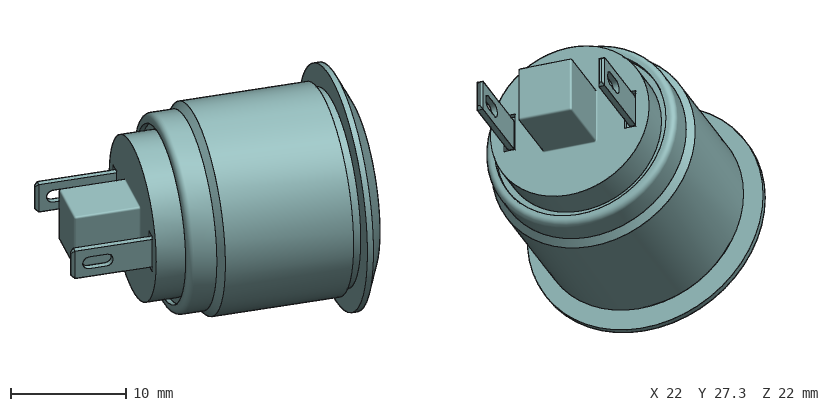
import cadquery as cq
TOTAL_LENGTH = 27.3

FACE_DIAMETER = 16.15
FLANGE_DIAMETER = 22.0
BARREL_DIAMETER = 19.0
NECK_DIAMETER = 17.8
BORE_DIAMETER = 16.0
BEVEL_END = 1.45
FLANGE_END = 2.0
NECK_END = 2.8
BARREL_END = 15.02
HOUSING_END = 17.58
BARREL_CHAMFER = (BARREL_DIAMETER - NECK_DIAMETER) / 2
RIM_FILLET = 0.55

SHOULDER_RECESS = 0.5
SHOULDER = HOUSING_END - SHOULDER_RECESS
BASE_DIAMETER = 14.8
BASE_END = 20.07

BLOCK_WIDTH = 5.0
BLOCK_HEIGHT = 5.2
BLOCK_END = 26.05
BLOCK_FILLET = 0.2
FOOT_FILLET = 0.1

TERMINAL_X = 5.68
TERMINAL_THICKNESS = 0.55
TERMINAL_HEIGHT = 2.8
TIP_LENGTH = 0.3
TIP_THICKNESS = 0.2
TIP_HEIGHT = 2.3
EYELET_LENGTH = 2.73
EYELET_WIDTH = 1.2
EYELET_CENTER = 24.92
SLOT_X = 5.62
SLOT_WIDTH = 1.0
SLOT_HEIGHT = 3.55
SLOT_DEPTH = 0.5


def section_at(station):
    """Workplane across the axis, facing backwards (-Y), with local x along +X."""
    return cq.Workplane("XZ", origin=(0, -station, 0))


def make_housing():
    """Flanged, stepped barrel with a blind bore for the switch core."""
    outline = [
        (0, 0),
        (FACE_DIAMETER / 2, 0),
        (FLANGE_DIAMETER / 2, -BEVEL_END),
        (FLANGE_DIAMETER / 2, -FLANGE_END),
        (NECK_DIAMETER / 2, -FLANGE_END),
        (NECK_DIAMETER / 2, -NECK_END),
        (BARREL_DIAMETER / 2, -NECK_END),
        (BARREL_DIAMETER / 2, -(BARREL_END - BARREL_CHAMFER)),
        (NECK_DIAMETER / 2, -BARREL_END),
        (NECK_DIAMETER / 2, -HOUSING_END),
        (0, -HOUSING_END),
    ]
    barrel = cq.Workplane("XY").polyline(outline).close().revolve(360, (0, 0), (0, 1))
    barrel = barrel.faces("<Y").edges().fillet(RIM_FILLET)
    bore = section_at(FLANGE_END).circle(BORE_DIAMETER / 2).extrude(HOUSING_END - FLANGE_END)
    return barrel.cut(bore)


def make_block():
    """Connector block with rounded long edges and end edges; its foot edges stay sharp."""
    block = section_at(BASE_END).rect(BLOCK_WIDTH, BLOCK_HEIGHT).extrude(BLOCK_END - BASE_END)
    return block.edges("not >Y").fillet(BLOCK_FILLET)


def round_block_foot(core):
    """Blend the block into the base with a small concave fillet around its foot."""
    foot_region = cq.selectors.BoxSelector(
        (-BLOCK_WIDTH, -BASE_END - FOOT_FILLET, -BLOCK_HEIGHT),
        (BLOCK_WIDTH, -BASE_END + FOOT_FILLET, BLOCK_HEIGHT),
        boundingbox=True,
    )
    return core.edges(foot_region).fillet(FOOT_FILLET)


def make_terminal(x):
    """Blade rising from the slot floor, with a tapered tip and an oblong eyelet."""
    slot_floor = BASE_END - SLOT_DEPTH
    tip_start = TOTAL_LENGTH - TIP_LENGTH
    blade = (
        section_at(slot_floor).center(x, 0)
        .rect(TERMINAL_THICKNESS, TERMINAL_HEIGHT)
        .extrude(tip_start - slot_floor)
    )
    tip = (
        section_at(tip_start).center(x, 0)
        .rect(TERMINAL_THICKNESS, TERMINAL_HEIGHT)
        .workplane(offset=TIP_LENGTH)
        .rect(TIP_THICKNESS, TIP_HEIGHT)
        .loft()
    )
    eyelet = (
        cq.Workplane("YZ", origin=(x, -EYELET_CENTER, 0))
        .slot2D(EYELET_LENGTH, EYELET_WIDTH)
        .extrude(TERMINAL_THICKNESS, both=True)
    )
    return blade.union(tip).cut(eyelet)


def make_switch_core():
    """Core that fills the bore and carries the base, connector block and two terminals."""
    core = section_at(FLANGE_END).circle(BORE_DIAMETER / 2).extrude(SHOULDER - FLANGE_END)
    base = section_at(SHOULDER).circle(BASE_DIAMETER / 2).extrude(BASE_END - SHOULDER)
    slots = (
        section_at(BASE_END)
        .pushPoints([(-SLOT_X, 0), (SLOT_X, 0)])
        .rect(SLOT_WIDTH, SLOT_HEIGHT)
        .extrude(-SLOT_DEPTH)
    )
    core = round_block_foot(core.union(base).union(make_block())).cut(slots)
    for side in (-1, 1):
        core = core.union(make_terminal(side * TERMINAL_X))
    return core


housing = make_housing()
switch_core = make_switch_core()

result = cq.Compound.makeCompound([housing.val(), switch_core.val()])